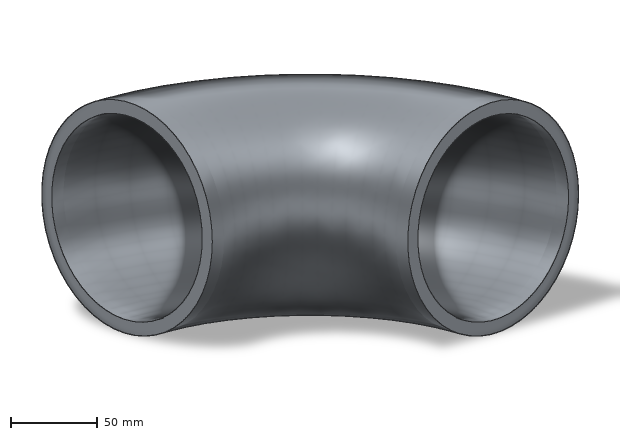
import cadquery as cq

overall_length = 220.0
outer_diameter = 140.0
inner_diameter = 123.5
collar_length = 10.0
bend_angle = 90

bend_radius = overall_length - outer_diameter / 2 - collar_length


def ring(plane, center):
    """Pipe cross-section on the given plane."""
    return (
        cq.Workplane(plane, origin=center)
        .circle(outer_diameter / 2)
        .circle(inner_diameter / 2)
    )


front_end = (-bend_radius, 0, 0)
side_end = (0, bend_radius, 0)

bend = ring("XZ", front_end).revolve(bend_angle, (bend_radius, 0), (bend_radius, -1))

front_collar = ring("XZ", front_end).extrude(collar_length)
side_collar = ring("YZ", side_end).extrude(collar_length)

result = bend.union(front_collar).union(side_collar)